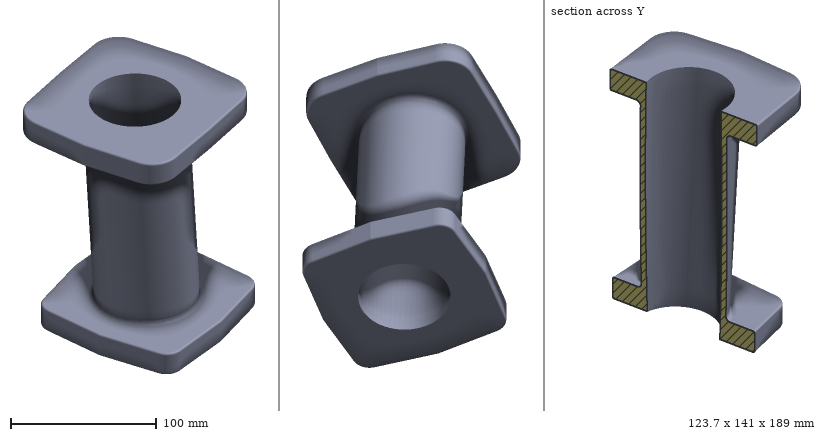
import cadquery as cq

height = 189.0
flange_thickness = 17.8
top_offset = -16.0
rim_fillet = 1.5
neck_fillet = 3.0

pipe_diameter = 73.3
bore_diameter = 63.7

bottom_width = 121.3
bottom_side_slope = 0.1
bottom_corner_radius = 12.3

top_width = 123.7
top_length = 128.8
top_end_slope = 0.076
top_side_slope = 0.02
top_flat_length = 2.8
top_corner_radius = 20.4


def flange(width, length, side_slope, end_slope, flat_length, corner_radius):
    """Flange centred on the origin, standing on the XY plane, with rounded rims."""
    half_width = width / 2
    half_length = length / 2
    half_flat = flat_length / 2
    corner_x = half_width - side_slope * (half_length - end_slope * half_width - half_flat)
    corner_x /= 1 - side_slope * end_slope
    corner_y = half_length - end_slope * corner_x

    def side(sign):
        """Middle of one side: a single peak, or the two ends of a flat."""
        if half_flat == 0:
            return [(sign * half_width, 0)]
        return [(sign * half_width, -sign * half_flat), (sign * half_width, sign * half_flat)]

    outline = [
        *side(1),
        (corner_x, corner_y),
        (0, half_length),
        (-corner_x, corner_y),
        *side(-1),
        (-corner_x, -corner_y),
        (0, -half_length),
        (corner_x, -corner_y),
    ]
    plate = cq.Workplane("XY").polyline(outline).close().extrude(flange_thickness)
    reach = corner_radius / 2
    for sign_x in (-1, 1):
        for sign_y in (-1, 1):
            low = (sign_x * corner_x - reach, sign_y * corner_y - reach, 0)
            high = (sign_x * corner_x + reach, sign_y * corner_y + reach, flange_thickness)
            corner_box = cq.selectors.BoxSelector(low, high)
            plate = plate.edges("|Z").edges(corner_box).fillet(corner_radius)
    return plate.faces("<Z or >Z").edges().fillet(rim_fillet)


def leaning_cylinder(diameter):
    """Round bar leaning from the bottom centre to the top centre, cut level at both ends."""
    axis = cq.Vector(0, top_offset, height)
    margin = axis.normalized() * diameter
    bar = cq.Solid.makeCylinder(diameter / 2, axis.Length + 2 * margin.Length, -margin, axis)
    slab_size = 4 * height
    slab = cq.Workplane("XY").box(slab_size, slab_size, height, centered=(True, True, False))
    return slab.intersect(cq.Workplane(bar))


bottom_flange = flange(
    bottom_width, bottom_width, bottom_side_slope, bottom_side_slope, 0, bottom_corner_radius
)
top_flange = flange(
    top_width, top_length, top_side_slope, top_end_slope, top_flat_length, top_corner_radius
).translate((0, top_offset, height - flange_thickness))

body = bottom_flange.union(top_flange).union(leaning_cylinder(pipe_diameter))

body = body.edges("%ELLIPSE").fillet(neck_fillet)

result = body.cut(leaning_cylinder(bore_diameter))